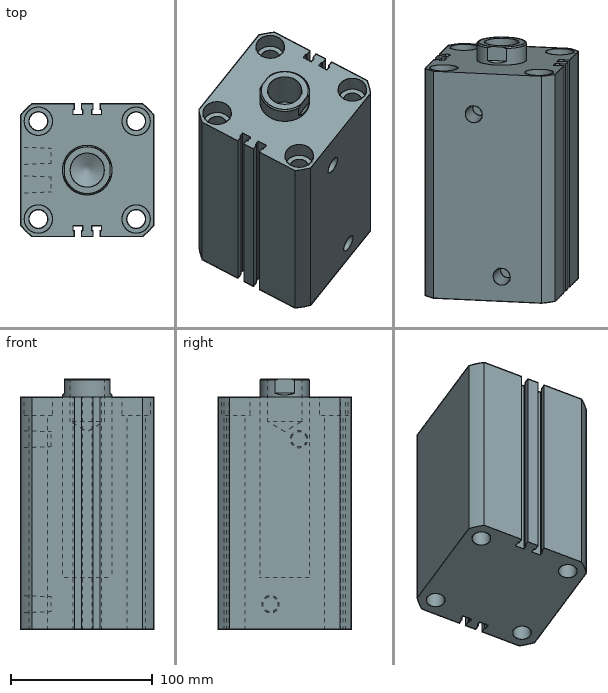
import cadquery as cq
import math

housing_width = 94.0
housing_height = 164.0
corner_turning_radius = 61.0

mounting_hole_offset = 34.5
mounting_hole_diameter = 13.1
counterbore_diameter = 20.0
counterbore_depth = 13.0

slot_offset = 6.5
slot_neck_width = 5.0
slot_head_width = 6.7
slot_neck_depth = 4.2
slot_depth = 7.6

port_mouth_diameter = 12.2
port_floor_diameter = 10.6
port_depth = 21.2
port_offset = 10.1
lower_port_height = 17.9
upper_port_drop = 29.7

total_height = 177.0
rod_diameter = 35.0
rod_depth_in_housing = 127.5
rod_chamfer = 1.01
rod_bore_diameter = 24.0
rod_bore_depth = 30.1
drill_point_angle = 118.0

wrench_flat_distance = 32.2
wrench_flat_length = 10.1

half_width = housing_width / 2
rod_bottom = housing_height - rod_depth_in_housing


def make_t_slot(center_x):
    """T-slot cutter opening in the -Y face."""
    half_neck = slot_neck_width / 2
    half_head = slot_head_width / 2
    face_y = -half_width
    shoulder_y = face_y + slot_neck_depth
    floor_y = face_y + slot_depth
    return (
        cq.Workplane("XY")
        .polyline([
            (center_x - half_neck, face_y),
            (center_x + half_neck, face_y),
            (center_x + half_neck, shoulder_y),
            (center_x + half_head, shoulder_y),
            (center_x + half_head, floor_y),
            (center_x - half_head, floor_y),
            (center_x - half_head, shoulder_y),
            (center_x - half_neck, shoulder_y),
        ])
        .close()
        .extrude(housing_height)
    )


def make_port(center_y, center_z):
    """Blind port cutter entering the -X face and tapering towards its floor."""
    return (
        cq.Workplane("XY")
        .polyline([
            (0, 0),
            (0, port_mouth_diameter / 2),
            (port_depth, port_floor_diameter / 2),
            (port_depth, 0),
        ])
        .close()
        .revolve(360, (0, 0, 0), (1, 0, 0))
        .translate((-half_width, center_y, center_z))
    )


def make_housing():
    block = cq.Workplane("XY").rect(housing_width, housing_width).extrude(housing_height)
    turned_bar = cq.Workplane("XY").circle(corner_turning_radius).extrude(housing_height)
    housing = block.intersect(turned_bar)

    mounting_pitch = 2 * mounting_hole_offset
    housing = (
        housing.faces(">Z").workplane(origin=(0, 0, housing_height))
        .rect(mounting_pitch, mounting_pitch, forConstruction=True)
        .vertices()
        .cboreHole(mounting_hole_diameter, counterbore_diameter, counterbore_depth)
    )

    for center_x in (-slot_offset, slot_offset):
        slot = make_t_slot(center_x)
        housing = housing.cut(slot).cut(slot.mirror("XZ"))

    upper_port_height = housing_height - upper_port_drop
    housing = housing.cut(make_port(port_offset, upper_port_height))
    housing = housing.cut(make_port(-port_offset, lower_port_height))

    rod_socket = (
        cq.Workplane("XY", origin=(0, 0, rod_bottom))
        .circle(rod_diameter / 2)
        .extrude(rod_depth_in_housing)
    )
    return housing.cut(rod_socket)


def make_flat_cutter():
    """Cutter for the -X wrench flat, ending below in a 45 degree slope."""
    flat_x = -wrench_flat_distance / 2
    outer_x = -rod_diameter / 2
    flat_bottom = total_height - wrench_flat_length
    slope_bottom = flat_bottom - (flat_x - outer_x)
    return (
        cq.Workplane("XZ")
        .polyline([
            (flat_x, total_height),
            (flat_x, flat_bottom),
            (outer_x, slope_bottom),
            (outer_x, total_height),
        ])
        .close()
        .extrude(rod_diameter / 2, both=True)
    )


def make_rod():
    rod = (
        cq.Workplane("XY", origin=(0, 0, rod_bottom))
        .circle(rod_diameter / 2)
        .extrude(total_height - rod_bottom)
        .faces(">Z")
        .chamfer(rod_chamfer)
    )

    bore_radius = rod_bore_diameter / 2
    bore_bottom = total_height - rod_bore_depth
    drill_point_length = bore_radius / math.tan(math.radians(drill_point_angle / 2))
    bore = (
        cq.Workplane("XZ")
        .polyline([
            (0, total_height),
            (bore_radius, total_height),
            (bore_radius, bore_bottom),
            (0, bore_bottom - drill_point_length),
        ])
        .close()
        .revolve(360, (0, 0, 0), (0, 1, 0))
    )
    rod = rod.cut(bore)

    flat_cutter = make_flat_cutter()
    return rod.cut(flat_cutter).cut(flat_cutter.mirror("YZ"))


housing = make_housing()
piston_rod = make_rod()

result = cq.Compound.makeCompound([housing.val(), piston_rod.val()])